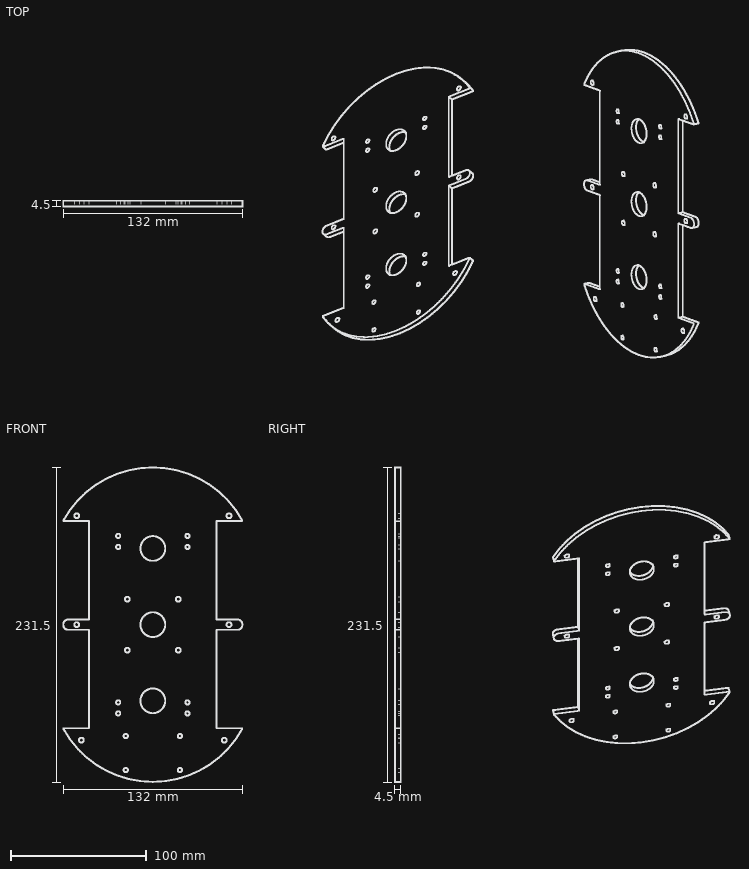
import cadquery as cq
import math

height = 231.5
width = 132.0
thickness = 4.5
body_width = 94.0

cap_radius = 75.0
cap_edge_z = 76.2
tip_fillet = 0.5

tab_width = 7.9

bore_diameter = 18.0
bore_pitch = 56.0

fixing_diameter = 3.5
tab_hole_x = 56.0
fixing_holes = [
    (tab_hole_x, 80.1),
    (tab_hole_x, 0),
    (52.5, -85.0),
    (18.8, 18.8),
    (18.8, -18.8),
]

small_diameter = 3.0
bracket_x = 25.5
bracket_inner_z = 57.2
bracket_outer_z = 65.3
lower_hole_x = 20.0
small_holes = [
    (bracket_x, bracket_inner_z),
    (bracket_x, bracket_outer_z),
    (bracket_x, -bracket_inner_z),
    (bracket_x, -bracket_outer_z),
    (lower_hole_x, -82.0),
    (lower_hole_x, -107.0),
]


def plate_sketch():
    """Sketch plane at the middle of the plate thickness."""
    return cq.Workplane("XZ")


def end_cap(side):
    """Circular segment at the top (side=1) or bottom (side=-1)."""
    centre_z = height / 2 - cap_radius
    tip_x = math.sqrt(cap_radius**2 - (cap_edge_z - centre_z) ** 2)
    cap = (
        plate_sketch()
        .moveTo(-tip_x, side * cap_edge_z)
        .threePointArc((0, side * height / 2), (tip_x, side * cap_edge_z))
        .close()
        .extrude(thickness / 2, both=True)
    )
    return cap.edges("|Y").fillet(tip_fillet)


def drill(plate, points, diameter):
    """Cut through holes at the given (x, z) points."""
    drills = plate_sketch().pushPoints(points).circle(diameter / 2).extrude(thickness, both=True)
    return plate.cut(drills)


def mirrored(points):
    """Repeat each point on both sides of the centre line."""
    return [(side * x, z) for x, z in points for side in (-1, 1)]


body = plate_sketch().rect(body_width, 2 * cap_edge_z).extrude(thickness / 2, both=True)
tabs = plate_sketch().slot2D(width, tab_width).extrude(thickness / 2, both=True)
plate = body.union(tabs).union(end_cap(1)).union(end_cap(-1)).clean()

bores = [(0, -bore_pitch), (0, 0), (0, bore_pitch)]
plate = drill(plate, bores, bore_diameter)
plate = drill(plate, mirrored(fixing_holes), fixing_diameter)
result = drill(plate, mirrored(small_holes), small_diameter)